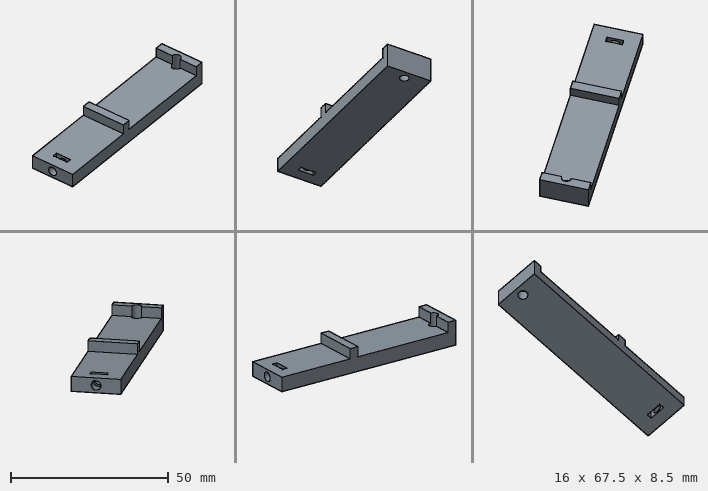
import cadquery as cq

width = 16.0
length = 67.52
plate_thickness = 5.0
front_y = -length / 2
rear_y = length / 2

rib_thickness = 3.0
rib_height = 3.5
middle_rib_offset = 38.0

hole_diameter = 3.1
rear_hole_y = rear_y - rib_thickness
plug_offset = 20.5
plug_y = rear_y - plug_offset

screw_hole_z = plate_thickness / 2
screw_hole_depth = 10.0
slot_width = 5.5
slot_length = 1.7
slot_setback = 4.0


def block(size_x, size_y, size_z, y_min, z_min):
    """Box centred on X, starting at the given Y and Z."""
    corner = (-size_x / 2, y_min, z_min)
    return cq.Workplane("XY").box(size_x, size_y, size_z, centered=False).translate(corner)


def vertical_cylinder(y, height):
    """Cylinder of the hole diameter standing on the underside plane."""
    plane = cq.Workplane("XY", origin=(0, y, 0))
    return plane.circle(hole_diameter / 2).extrude(height)


def add_ribs(body):
    """One rib flush with the rear end of the plate and another across the middle."""
    for rib_rear_y in (rear_y, rear_y - middle_rib_offset):
        rib = block(width, rib_thickness, rib_height, rib_rear_y - rib_thickness, plate_thickness)
        body = body.union(rib, clean=False)
    return body


def cut_rear_hole(body):
    """Vertical through hole centred on the inner face of the rear rib."""
    return body.cut(vertical_cylinder(rear_hole_y, plate_thickness + rib_height), clean=False)


def cut_screw_and_nut(body):
    """Blind hole along +Y from the front face, and the vertical through slot it crosses."""
    plane = cq.Workplane("XZ", origin=(0, front_y, screw_hole_z))
    screw_hole = plane.circle(hole_diameter / 2).extrude(-screw_hole_depth)
    nut_slot = block(slot_width, slot_length, plate_thickness, front_y + slot_setback, 0)
    return body.cut(screw_hole, clean=False).cut(nut_slot, clean=False)


def add_flush_plug(body):
    """Hole filled level with the plate, leaving only its round seam in the surface."""
    plug = vertical_cylinder(plug_y, plate_thickness)
    return body.cut(plug, clean=False).union(plug, clean=False)


plate = block(width, length, plate_thickness, front_y, 0)
finished_body = add_flush_plug(cut_screw_and_nut(cut_rear_hole(add_ribs(plate))))
result = finished_body.solids()